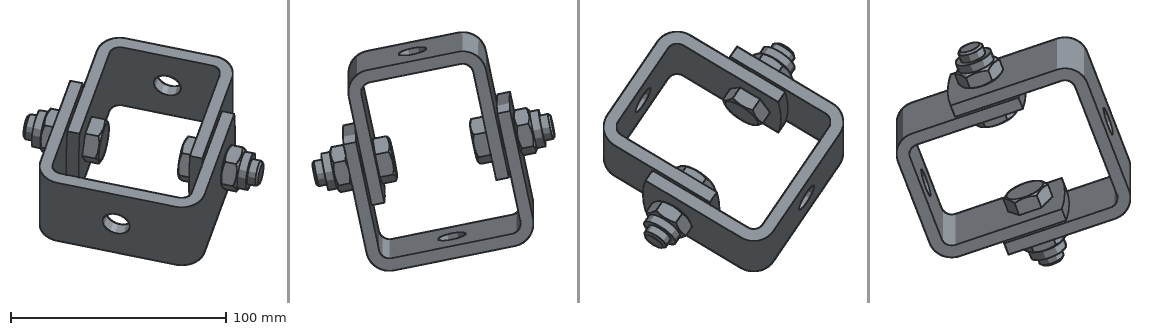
import cadquery as cq
import math

strap_thickness = 6.0
strap_height = 40.0
overall_length = 96.0
inner_bracket_width = 65.0
outer_bracket_width = 79.0
outer_bend_radius = 11.0
inner_bend_radius = outer_bend_radius - strap_thickness
leg_overlap = 17.0
leg_tip_bulge = 1.5
base_hole_diameter = 13.0

overall_width = 113.0
bolt_diameter = 12.0
bolt_tip_chamfer = 1.1
head_height = 7.5
head_face_diameter = 18.05
across_flats = 19.0

nut_height = 12.0
nut_hex_height = 7.9
collar_diameter = 17.4
nut_face_diameter = collar_diameter
hex_chamfer_angle = 30.0

half_length = overall_length / 2
across_corners = across_flats / math.cos(math.pi / 6)
hex_chamfer_slope = math.tan(math.radians(hex_chamfer_angle))


def rounded_block(width, y_min, y_max, corner_radius):
    """Upright block whose two corners at y_min are rounded."""
    return (
        cq.Workplane("XY")
        .box(width, y_max - y_min, strap_height, centered=(True, False, True))
        .translate((0, y_min, 0))
        .edges("|Z and <Y")
        .fillet(corner_radius)
    )


def leg_tip_envelope(width):
    """Plate spanning the whole bracket, ending in the arc that shapes both leg tips."""
    half_height = strap_height / 2
    shoulder = leg_overlap - leg_tip_bulge
    return (
        cq.Workplane("YZ")
        .moveTo(-half_length, -half_height)
        .lineTo(shoulder, -half_height)
        .threePointArc((leg_overlap, 0), (shoulder, half_height))
        .lineTo(-half_length, half_height)
        .close()
        .extrude(width / 2, both=True)
    )


def bracket(width):
    """U-shaped strap with its base at -Y and its legs pointing to +Y."""
    outside = rounded_block(width, -half_length, leg_overlap, outer_bend_radius)
    inside = rounded_block(
        width - 2 * strap_thickness,
        -half_length + strap_thickness,
        leg_overlap,
        inner_bend_radius,
    )
    base_hole = (
        cq.Workplane("XZ", origin=(0, -half_length, 0))
        .circle(base_hole_diameter / 2)
        .extrude(-strap_thickness)
    )
    return outside.cut(inside).intersect(leg_tip_envelope(width)).cut(base_hole)


def rod(diameter, x_start, x_end):
    """Cylinder along X."""
    return cq.Workplane("YZ", origin=(x_start, 0, 0)).circle(diameter / 2).extrude(x_end - x_start)


def hexagon(x_start, x_end, face_diameter, chamfer_start, chamfer_end):
    """Hexagonal prism along X, corners pointing to +/-Y, with conical chamfers on the chosen ends."""
    height = x_end - x_start
    prism = cq.Workplane("YZ", origin=(x_start, 0, 0)).polygon(6, across_corners).extrude(height)
    corner_radius = across_corners / 2
    face_radius = face_diameter / 2
    chamfer_depth = (corner_radius - face_radius) * hex_chamfer_slope
    profile = [(x_start, 0)]
    if chamfer_start:
        profile += [(x_start, face_radius), (x_start + chamfer_depth, corner_radius)]
    else:
        profile += [(x_start, corner_radius)]
    if chamfer_end:
        profile += [(x_end - chamfer_depth, corner_radius), (x_end, face_radius)]
    else:
        profile += [(x_end, corner_radius)]
    profile += [(x_end, 0)]
    envelope = cq.Workplane("XY").polyline(profile).close().revolve(360, (0, 0, 0), (1, 0, 0))
    return prism.intersect(envelope)


def bolt_and_nut():
    """Bolt on the +X side: head inside the inner bracket, lock nut outside the outer bracket."""
    head_seat = inner_bracket_width / 2 - strap_thickness
    nut_seat = outer_bracket_width / 2
    collar_start = nut_seat + nut_hex_height
    head = hexagon(head_seat - head_height, head_seat, head_face_diameter, True, False)
    shank = rod(bolt_diameter, head_seat, overall_width / 2).faces(">X").chamfer(bolt_tip_chamfer)
    nut = hexagon(nut_seat, collar_start, nut_face_diameter, True, True)
    collar = rod(collar_diameter, collar_start, nut_seat + nut_height)
    return head.union(shank).union(nut).union(collar)


outer_bracket = bracket(outer_bracket_width)
inner_bracket = bracket(inner_bracket_width).rotate((0, 0, 0), (0, 0, 1), 180)

fastener = bolt_and_nut()
result = outer_bracket.union(inner_bracket)
for side_angle in (0, 180):
    result = result.union(fastener.rotate((0, 0, 0), (0, 0, 1), side_angle))